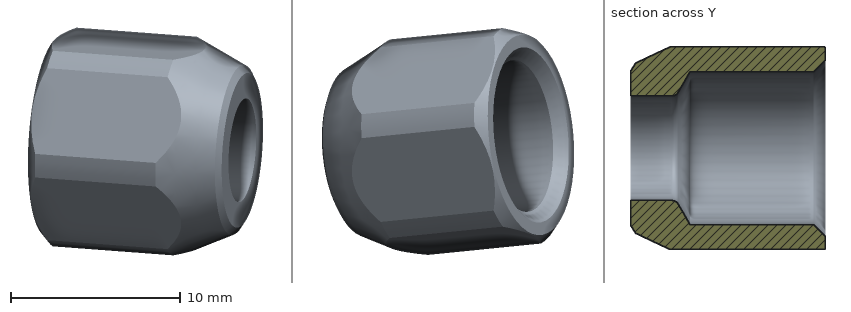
import cadquery as cq
import math

length = 11.5
across_flats = 12.0
corner_radius = 6.55
flat_turn = 30
nut_axis = ((0, 0, 0), (1, 0, 0))

open_face_radius = 5.95
open_chamfer_length = 0.6
taper_start = 7.99
nose_chamfer_length = 0.29
taper_end_radius = 5.05
nose_face_radius = 4.58

entry_radius = 5.2
bore_radius = 4.5
entry_chamfer_length = entry_radius - bore_radius
seat_end_radius = 3.29
hole_radius = 3.08
seat_start = 7.99
seat_angle = 60.0

seat_slope = math.radians(seat_angle)
seat_length = (bore_radius - seat_end_radius) / math.tan(seat_slope)
throat_radius = (seat_end_radius - hole_radius) / (1 - math.cos(seat_slope))
throat_length = throat_radius * math.sin(seat_slope)


def revolve_about_x(outline):
    return outline.revolve(360, *nut_axis)


def hexagonal_bar():
    """Hexagonal bar with two flats facing up and down."""
    bar = cq.Workplane("YZ").polygon(6, across_flats, circumscribed=True)
    return bar.extrude(length).rotate(*nut_axis, flat_turn)


def outer_envelope():
    outline = cq.Workplane("XY").polyline([
        (0, 0),
        (0, open_face_radius),
        (open_chamfer_length, corner_radius),
        (taper_start, corner_radius),
        (length - nose_chamfer_length, taper_end_radius),
        (length, nose_face_radius),
        (length, 0),
    ]).close()
    return revolve_about_x(outline)


def bore():
    seat_end = seat_start + seat_length
    throat_end = seat_end + throat_length
    outline = (
        cq.Workplane("XY")
        .moveTo(0, 0)
        .lineTo(0, entry_radius)
        .lineTo(entry_chamfer_length, bore_radius)
        .lineTo(seat_start, bore_radius)
        .lineTo(seat_end, seat_end_radius)
        .tangentArcPoint((throat_end, hole_radius), relative=False)
        .lineTo(length, hole_radius)
        .lineTo(length, 0)
        .close()
    )
    return revolve_about_x(outline)


result = hexagonal_bar().intersect(outer_envelope()).cut(bore())